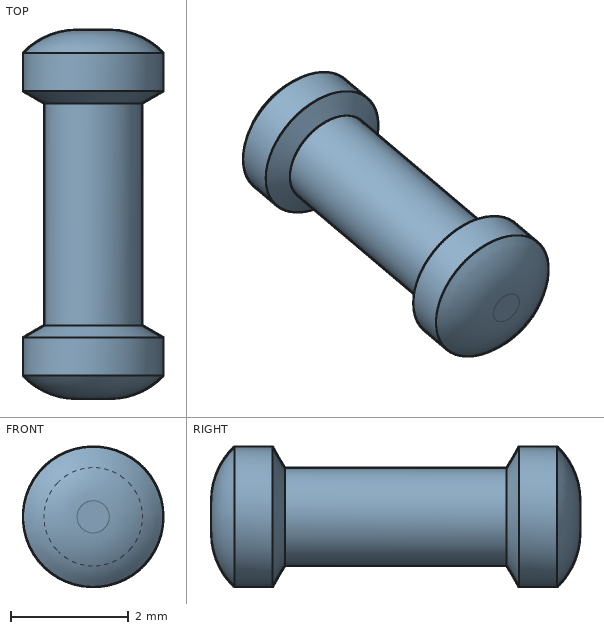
import cadquery as cq
import math

overall_length = 6.3
head_radius = 2.4 / 2
shank_radius = 1.68 / 2
end_flat_radius = 0.55 / 2
dome_height = 0.4
head_band_length = 0.65
neck_cone_slope = 30

neck_cone_length = (head_radius - shank_radius) * math.tan(math.radians(neck_cone_slope))

tip_y = overall_length / 2
dome_base_y = tip_y - dome_height
band_inner_y = dome_base_y - head_band_length
shank_end_y = band_inner_y - neck_cone_length

dome_reach = head_radius - end_flat_radius
dome_radius = (dome_reach**2 + dome_height**2) / (2 * dome_height)
dome_half_angle = math.asin(dome_reach / dome_radius) / 2
dome_mid_radius = end_flat_radius + dome_radius * math.sin(dome_half_angle)
dome_mid_y = tip_y - dome_radius * (1 - math.cos(dome_half_angle))


def pin():
    """Whole pin: half profile traced from the -Y tip to the +Y tip, then revolved."""
    profile = (
        cq.Workplane("XY")
        .moveTo(0, -tip_y)
        .lineTo(end_flat_radius, -tip_y)
        .threePointArc((dome_mid_radius, -dome_mid_y), (head_radius, -dome_base_y))
        .lineTo(head_radius, -band_inner_y)
        .lineTo(shank_radius, -shank_end_y)
        .lineTo(shank_radius, shank_end_y)
        .lineTo(head_radius, band_inner_y)
        .lineTo(head_radius, dome_base_y)
        .threePointArc((dome_mid_radius, dome_mid_y), (end_flat_radius, tip_y))
        .lineTo(0, tip_y)
        .close()
    )
    return profile.revolve(360, (0, 0, 0), (0, 1, 0))


result = pin()